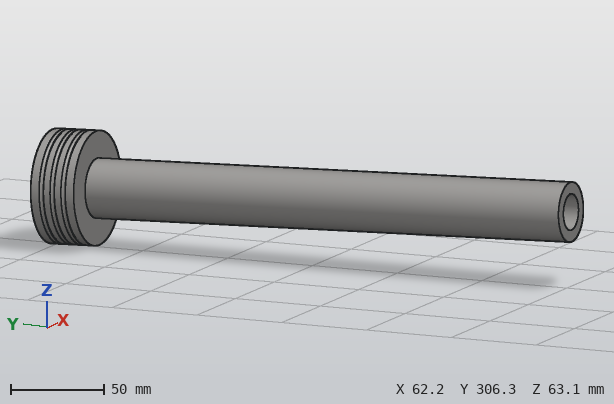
import cadquery as cq
import math

total_length_y = 306.3
tilt_angle = 2.0
head_diameter = 62.2
head_thickness = 25.5
rod_diameter = 32.5
bore_diameter = 19.5
bore_depth = 27.5
groove_count = 3
groove_radius = 1.2
groove_pitch = 6.5

head_radius = head_diameter / 2
rod_radius = rod_diameter / 2
tilt = math.radians(tilt_angle)

axial_length = (total_length_y - (head_radius + rod_radius) * math.sin(tilt)) / math.cos(tilt)


def make_piston():
    """Head and rod along +Z, with the back face of the head at Z = 0."""
    head = cq.Workplane("XY").circle(head_radius).extrude(head_thickness)
    rod = cq.Workplane("XY").circle(rod_radius).extrude(axial_length)
    return head.union(rod)


def make_groove(center):
    """Ring of round section, half sunk into the rim of the head."""
    return (
        cq.Workplane("XZ")
        .center(head_radius, center)
        .circle(groove_radius)
        .revolve(360, (-head_radius, 0, 0), (-head_radius, 1, 0))
    )


def make_bore():
    """Blind bore in the free end of the rod."""
    return (
        cq.Workplane("XY", origin=(0, 0, axial_length - bore_depth))
        .circle(bore_diameter / 2)
        .extrude(bore_depth)
    )


piston = make_piston().cut(make_bore())
for index in range(groove_count):
    offset = (index - (groove_count - 1) / 2) * groove_pitch
    piston = piston.cut(make_groove(head_thickness / 2 + offset))

result = piston.rotate((0, 0, 0), (1, 0, 0), 90 - tilt_angle)